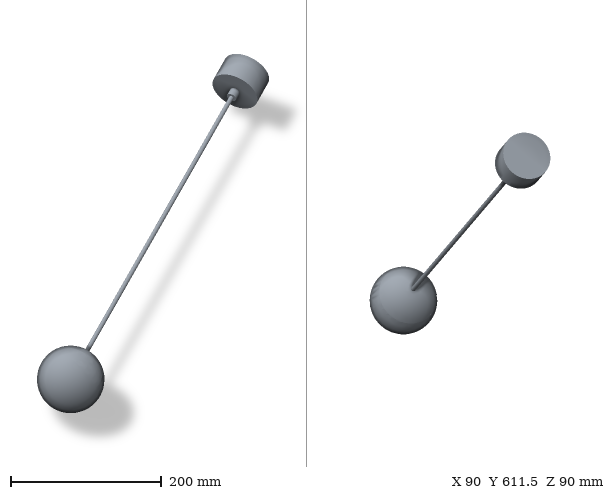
import cadquery as cq

overall_length = 611.5
globe_diameter = 90.0
globe_split_offset = 21.0

canopy_diameter = 65.5
canopy_depth = 38.0
canopy_hole_diameter = 3.0
canopy_hole_depth = 6.0
canopy_hole_from_wall = 7.0

collar_diameter = 13.5
collar_end = 49.0
collar_hole_diameter = 3.5
collar_hole_from_wall = 44.5

rod_diameter = 6.0
rod_joint = 476.5
stem_insertion = 3.0

globe_radius = globe_diameter / 2
globe_center = overall_length - globe_radius
globe_split = globe_center - globe_split_offset
stem_end = globe_center - globe_radius + stem_insertion


def cylinder_along_arm(diameter, start, end):
    """Cylinder on the lamp axis between two distances from the wall."""
    return (
        cq.Workplane("XZ", origin=(0, -start, 0))
        .circle(diameter / 2)
        .extrude(end - start)
    )


def side_hole(diameter, distance_from_wall, outer_radius, depth):
    """Cutter for a radial hole drilled inward from the -X side."""
    return (
        cq.Workplane("YZ", origin=(-outer_radius, -distance_from_wall, 0))
        .circle(diameter / 2)
        .extrude(depth)
    )


def make_canopy():
    """Wall canopy with a small blind screw hole in its rim."""
    body = cylinder_along_arm(canopy_diameter, 0, canopy_depth)
    hole = side_hole(
        canopy_hole_diameter, canopy_hole_from_wall, canopy_diameter / 2, canopy_hole_depth
    )
    return body.cut(hole)


def make_collar():
    """Rod holder with a set-screw hole reaching in to the rod."""
    body = cylinder_along_arm(collar_diameter, canopy_depth, collar_end)
    bore = cylinder_along_arm(rod_diameter, canopy_depth, collar_end)
    hole = side_hole(
        collar_hole_diameter, collar_hole_from_wall, collar_diameter / 2, collar_diameter / 2
    )
    return body.cut(bore).cut(hole)


def make_globe_part(start, end):
    """Slice of the globe between two distances from the wall."""
    ball = cq.Workplane("XY", origin=(0, -globe_center, 0)).sphere(globe_radius)
    return ball.intersect(cylinder_along_arm(globe_diameter, start, end))


def make_globe_cap():
    """Wall-side globe segment with the socket for the stem."""
    cap = make_globe_part(globe_center - globe_radius, globe_split)
    return cap.cut(cylinder_along_arm(rod_diameter, rod_joint, stem_end))


canopy = make_canopy()
collar = make_collar()
rod = cylinder_along_arm(rod_diameter, canopy_depth, rod_joint)
stem = cylinder_along_arm(rod_diameter, rod_joint, stem_end)
globe_cap = make_globe_cap()
globe = make_globe_part(globe_split, overall_length)

result = cq.Compound.makeCompound(
    [canopy.val(), collar.val(), rod.val(), stem.val(), globe_cap.val(), globe.val()]
)